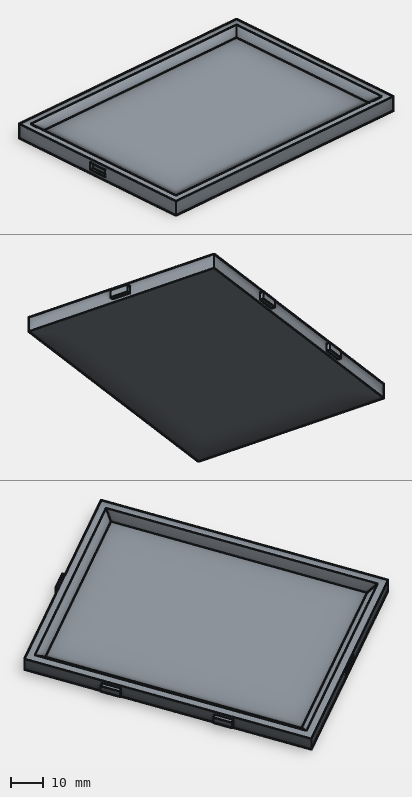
import cadquery as cq

body_width = 68.58
body_length = 93.98
body_height = 5.08

rim_width = 2.54
wall_run = 2.54
recess_depth = 2.54

connector_height = 2.54
connector_z = body_height / 2
tab_projection = 1.27
tab_width = 6.3
tapered_tab_base = 6.35
tapered_tab_tip = 6.1
socket_width = 6.6
socket_depth = 1.27
left_tab_offset = 18.4


def recess():
    """Frustum that opens at the rim and narrows down to the floor."""
    mouth_width = body_width - 2 * rim_width
    mouth_length = body_length - 2 * rim_width
    return (
        cq.Workplane("XY", origin=(0, 0, body_height))
        .rect(mouth_width, mouth_length)
        .workplane(offset=-recess_depth)
        .rect(mouth_width - 2 * wall_run, mouth_length - 2 * wall_run)
        .loft(ruled=True)
    )


def left_tab(y_center, base_width, tip_width):
    """Tab on the -X wall, with the given widths at the wall and at its tip."""
    wall_x = -body_width / 2
    tip_x = wall_x - tab_projection
    outline = [
        (wall_x, y_center - base_width / 2),
        (wall_x, y_center + base_width / 2),
        (tip_x, y_center + tip_width / 2),
        (tip_x, y_center - tip_width / 2),
    ]
    bottom_z = connector_z - connector_height / 2
    return (
        cq.Workplane("XY", origin=(0, 0, bottom_z))
        .polyline(outline)
        .close()
        .extrude(connector_height)
    )


def back_tab():
    """Straight tab on the middle of the +Y wall."""
    y_center = (body_length + tab_projection) / 2
    return cq.Workplane("XY", origin=(0, y_center, connector_z)).box(
        tab_width, tab_projection, connector_height
    )


def front_socket():
    """Blind pocket in the middle of the -Y wall that receives a back tab."""
    y_center = (socket_depth - body_length) / 2
    return cq.Workplane("XY", origin=(0, y_center, connector_z)).box(
        socket_width, socket_depth, connector_height
    )


body = cq.Workplane("XY").box(body_width, body_length, body_height, centered=(True, True, False))
result = (
    body.cut(recess())
    .cut(front_socket())
    .union(back_tab())
    .union(left_tab(left_tab_offset, tab_width, tab_width))
    .union(left_tab(-left_tab_offset, tapered_tab_base, tapered_tab_tip))
)